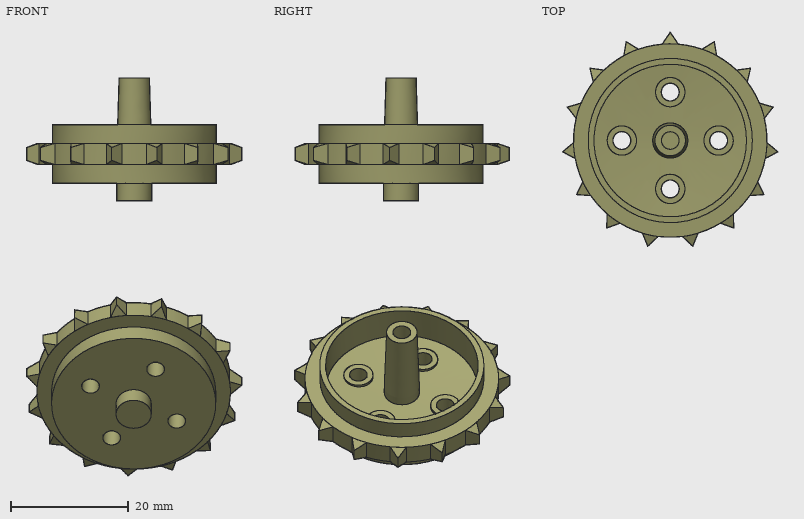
import cadquery as cq
import math

band_diameter = 33.0
band_height = 3.6
rim_diameter = 28.0
rim_height = 10.0
cavity_diameter = 26.0

floor_edge_z = 7.0
floor_centre_z = 6.4

axle_diameter = 6.0
axle_tip_diameter = 5.2
axle_length = 20.99
axle_stub_length = 3.0
bore_diameter = 3.0
bore_depth = 8.0

hole_count = 4
hole_diameter = 3.0
hole_circle_radius = 8.25
collar_diameter = 5.0
collar_top_z = 7.0

tooth_count = 15
tooth_tip_radius = 18.467
tooth_base_width = 2.75
tooth_tip_height = 2.2
tooth_root_radius = 14.0

rim_bottom_z = axle_stub_length
rim_top_z = rim_bottom_z + rim_height
mid_z = (rim_bottom_z + rim_top_z) / 2
band_bottom_z = mid_z - band_height / 2
band_top_z = mid_z + band_height / 2


def cylinder(diameter, bottom_z, top_z):
    """Upright cylinder on the wheel axis."""
    return cq.Workplane("XY").workplane(offset=bottom_z).circle(diameter / 2).extrude(top_z - bottom_z)


def make_cavity():
    """Round cavity open at the top, with a bowl-shaped floor."""
    radius = cavity_diameter / 2
    bowl_depth = floor_edge_z - floor_centre_z
    bowl_radius = (radius**2 + bowl_depth**2) / (2 * bowl_depth)
    mid_radius = radius / 2
    arc_mid_z = floor_centre_z + bowl_radius - math.sqrt(bowl_radius**2 - mid_radius**2)
    return (
        cq.Workplane("XZ")
        .moveTo(0, floor_centre_z)
        .threePointArc((mid_radius, arc_mid_z), (radius, floor_edge_z))
        .lineTo(radius, rim_top_z)
        .lineTo(0, rim_top_z)
        .close()
        .revolve(360, (0, 0, 0), (0, 1, 0))
    )


def make_axle():
    """Axle that is straight up to the middle of the wheel and tapers above it."""
    return (
        cq.Workplane("XZ")
        .lineTo(axle_diameter / 2, 0)
        .lineTo(axle_diameter / 2, mid_z)
        .lineTo(axle_tip_diameter / 2, axle_length)
        .lineTo(0, axle_length)
        .close()
        .revolve(360, (0, 0, 0), (0, 1, 0))
    )


def make_tooth():
    """Tooth along +Y: a triangle in plan whose top and bottom slope towards the tip."""
    half_width = tooth_base_width / 2
    base_radius = math.sqrt((band_diameter / 2) ** 2 - half_width**2)
    wedge = (
        cq.Workplane("XY")
        .workplane(offset=band_bottom_z)
        .moveTo(-half_width, tooth_root_radius)
        .lineTo(-half_width, base_radius)
        .lineTo(0, tooth_tip_radius)
        .lineTo(half_width, base_radius)
        .lineTo(half_width, tooth_root_radius)
        .close()
        .extrude(band_height)
    )
    side_profile = (
        cq.Workplane("YZ")
        .moveTo(tooth_root_radius, band_bottom_z)
        .lineTo(base_radius, band_bottom_z)
        .lineTo(tooth_tip_radius, mid_z - tooth_tip_height / 2)
        .lineTo(tooth_tip_radius, mid_z + tooth_tip_height / 2)
        .lineTo(base_radius, band_top_z)
        .lineTo(tooth_root_radius, band_top_z)
        .close()
        .extrude(half_width, both=True)
    )
    return wedge.intersect(side_profile)


def make_wheel():
    """Rim and toothed band, still without the cavity."""
    wheel = cylinder(rim_diameter, rim_bottom_z, rim_top_z)
    wheel = wheel.union(cylinder(band_diameter, band_bottom_z, band_top_z))
    tooth = make_tooth()
    for index in range(tooth_count):
        angle = index * 360 / tooth_count
        wheel = wheel.union(tooth.rotate((0, 0, 0), (0, 0, 1), angle))
    return wheel


def on_hole_circle(diameter, bottom_z, top_z):
    """One cylinder at each hole position."""
    return (
        cq.Workplane("XY")
        .workplane(offset=bottom_z)
        .polarArray(hole_circle_radius, 0, 360, hole_count)
        .circle(diameter / 2)
        .extrude(top_z - bottom_z)
    )


result = make_wheel().cut(make_cavity())
result = result.union(make_axle())
result = result.union(on_hole_circle(collar_diameter, rim_bottom_z, collar_top_z))
result = result.cut(on_hole_circle(hole_diameter, rim_bottom_z, rim_top_z))
result = result.cut(cylinder(bore_diameter, axle_length - bore_depth, axle_length))